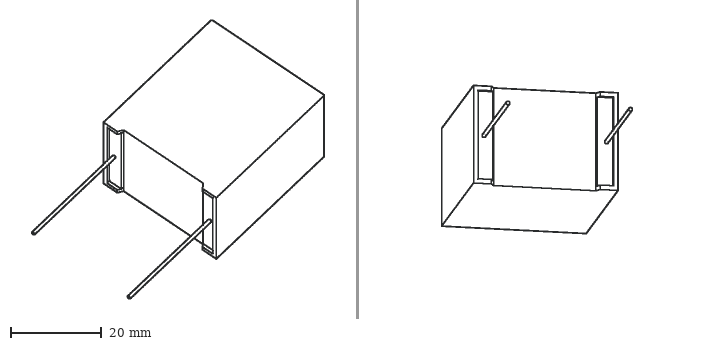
import cadquery as cq

total_length = 64.3
case_width = 32.5
case_height = 22.3
case_length = 37.3
lead_reach = total_length - case_length

wall = 1.0
back_edge_radius = 0.5
step_depth = 1.2
step_inner_width = 22.9
step_outer_width = 24.45

resin_recess = 0.8
lead_spacing = 27.5
lead_diameter = 0.85

cavity_width = case_width - 2 * wall
cavity_height = case_height - 2 * wall
chamber_start = step_depth + wall
chamber_end = case_length - wall
flank_slope = (step_outer_width - step_inner_width) / 2 / step_depth
opening_inner_x = step_outer_width / 2 - flank_slope * resin_recess


def block(x_min, x_max, y_min, y_max, height):
    """Box between the given X and Y limits, centred on Z = 0."""
    return cq.Workplane("XY").box(
        x_max - x_min, y_max - y_min, height, centered=(False, False, True)
    ).translate((x_min, y_min, 0))


def make_fill(front_y):
    """Cavity contents: the chamber and the two openings reaching front_y."""
    half_width = cavity_width / 2
    fill = block(-half_width, half_width, chamber_start, chamber_end, cavity_height)
    right = block(opening_inner_x, half_width, front_y, chamber_start, cavity_height)
    return fill.union(right).union(right.mirror("YZ"))


def make_case():
    """Box with rounded back edges, a sloped step between the feet and a cavity."""
    half_width = case_width / 2
    case = block(-half_width, half_width, 0, case_length, case_height)
    case = case.faces(">Y").edges().fillet(back_edge_radius)
    step = (
        cq.Workplane("XY")
        .polyline([
            (-step_outer_width / 2, 0),
            (step_outer_width / 2, 0),
            (step_inner_width / 2, step_depth),
            (-step_inner_width / 2, step_depth),
        ])
        .close()
        .extrude(case_height / 2, both=True)
    )
    return case.cut(step).cut(make_fill(0))


def make_resin():
    """Potting resin that fills the cavity up to its recessed surface."""
    return make_fill(resin_recess)


def make_lead(x):
    """Round wire standing on the resin surface."""
    return (
        cq.Workplane("XZ", origin=(x, resin_recess, 0))
        .circle(lead_diameter / 2)
        .extrude(resin_recess + lead_reach)
    )


case = make_case()
resin = make_resin()
leads = [make_lead(side * lead_spacing / 2).val() for side in (-1, 1)]

result = cq.Compound.makeCompound([case.val(), resin.val(), *leads])